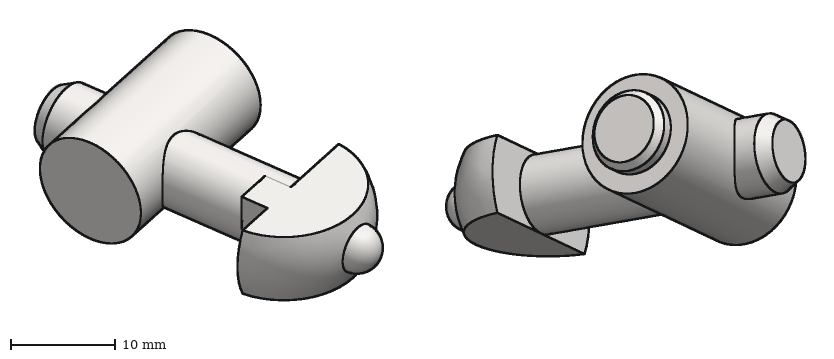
import cadquery as cq

overall_length = 38

barrel_diameter = 11.8
barrel_front = -7.5
barrel_back = 12.55
pin_diameter = 8.0
pin_length = 2.0
pin_chamfer_length = 0.8
pin_end_diameter = 6.65
pin_chamfer_depth = (pin_diameter - pin_end_diameter) / 2

shaft_diameter = 7.8
shaft_start = -9.6
shaft_chamfer_length = 1.52
shaft_chamfer_depth = 0.85

head_face = 18.15
head_radius = 8.95
head_center = 17.35
head_thickness = shaft_diameter

tip_diameter = 5.0
tip_end = shaft_start + overall_length

lock_length = 3.0
lock_width = shaft_diameter / 2


def beveled_cylinder(plane, diameter, length, bevel_length, bevel_depth):
    """Cylinder along the plane normal, narrowing over bevel_length at its far end."""
    radius = diameter / 2
    end_radius = radius - bevel_depth
    profile = cq.Workplane("XY").polyline(
        [(0, 0), (radius, 0), (radius, length - bevel_length), (end_radius, length), (0, length)]
    )
    upright = profile.close().revolve(360, (0, 0), (0, 1)).rotate((0, 0, 0), (1, 0, 0), 90)
    return cq.Workplane(upright.val().moved(cq.Location(plane)))


def make_barrel():
    """Cross barrel with a short beveled pin on its +Y end."""
    front_plane = cq.Plane((0, barrel_front, 0), (1, 0, 0), (0, 1, 0))
    back_plane = cq.Plane((0, barrel_back, 0), (1, 0, 0), (0, 1, 0))
    barrel = cq.Workplane(front_plane).circle(barrel_diameter / 2).extrude(barrel_back - barrel_front)
    pin = beveled_cylinder(back_plane, pin_diameter, pin_length, pin_chamfer_length, pin_chamfer_depth)
    return barrel.union(pin)


def make_shaft():
    """Round shaft from the head face to its beveled -X end."""
    head_plane = cq.Plane((head_face, 0, 0), (0, 1, 0), (-1, 0, 0))
    return beveled_cylinder(
        head_plane, shaft_diameter, head_face - shaft_start, shaft_chamfer_length, shaft_chamfer_depth
    )


def sphere_on_shaft(radius, center):
    """Sphere centered on the X axis, with its poles on that axis."""
    half_disc = cq.Workplane("XY").moveTo(center - radius, 0).threePointArc(
        (center, radius), (center + radius, 0)
    )
    return half_disc.close().revolve(360, (0, 0), (1, 0))


def make_head():
    """Spherical slice with a flat face toward the shaft."""
    slice_box = cq.Workplane("XY").box(
        head_radius, 2 * head_radius, head_thickness, centered=(False, True, True)
    )
    return sphere_on_shaft(head_radius, head_center).intersect(slice_box.translate((head_face, 0, 0)))


def make_tip():
    """Ball partly sunk into the crown of the head."""
    ball_radius = tip_diameter / 2
    return sphere_on_shaft(ball_radius, tip_end - ball_radius)


def make_lock_corner():
    """Square block filling the -Y, +Z quarter of the shaft next to the head."""
    block = cq.Workplane("XY").box(lock_length, lock_width, lock_width, centered=False)
    return block.translate((head_face - lock_length, -lock_width, 0))


result = make_barrel()
for feature in (make_shaft(), make_head(), make_tip(), make_lock_corner()):
    result = result.union(feature)